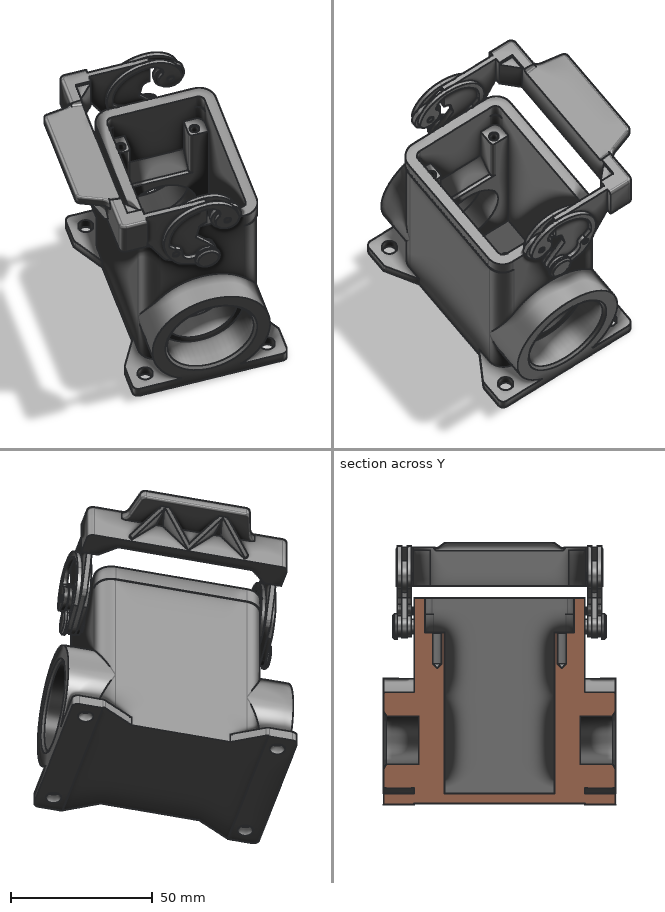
import cadquery as cq
import math

flange_length = 82.0
flange_width = 57.1
flange_thickness = 4.0
flange_corner_radius = 2.1
ear_flat_edge = 29.8
ear_taper_angle = 30
underside_relief = 0.4
mount_hole_radius = 2.73
mount_hole_x = 34.9
mount_hole_y = 22.55

body_length = 60.3
body_width = 43.5
body_corner_radius = 6.2
rim_width = 44.3
rim_bottom = 67.2
rim_top = 72.9
cavity_length = 52.5
cavity_width = 35.95
rim_cavity_corner_radius = 2.3
cavity_corner_radius = 3.0
wall_overlap = 0.9
floor_top = 4.0

post_top = 60.7
post_inner_x = 19.3
post_inner_y = 10.9
post_edge_radius = 1.3
screw_x = 22.0
screw_y = 13.6
screw_hole_radius = 1.5
screw_hole_depth = 11.1
screw_hole_chamfer = 0.3
wall_top = 39.7
wall_ledge_width = 1.5
wall_slope_rise = 5.45

entry_radius = body_width / 2
entry_height = 22.7
entry_bore_radius = 16.0
entry_bore_depth = 12.5
entry_through_radius = 13.5
entry_chamfer = 1.0

pivot_z = 62.8
pivot_pin_radius = 2.6
pivot_head_radius = 4.5
pivot_head_height = 1.5
pivot_head_chamfer = 0.7
cheek_outer_x = 36.1
arm_outer_x = 34.5
arm_inner_x = 32.5
cheek_inner_x = 31.05
arm_pivot_radius = 4.0
cheek_pivot_radius = 3.7
pivot_tangent_degrees = 245

hook_y = 7.6
hook_z = 80.4
hook_radius = 4.3
roller_radius = 5.5
cheek_arc_z = 75.4
cheek_top = 91.3
cheek_arc_radius = cheek_top - cheek_arc_z
cheek_band = 2.0

arm_back_y = 0.4
arm_notch_top = (arm_back_y, 79.85)
arm_notch_middle = (-1.7, 79.2)
arm_notch_bottom = (-2.7, 77.2)
arm_waist = (-3.6, 72.9)
arm_heel_upper = (-15.7, 65.8)
arm_heel_middle = (-15.1, 64.9)
arm_heel_lower = (-13.9, 64.05)

plate_heel_middle = (-14.0, 67.3)
plate_heel = (-10.1, 62.4)
plate_toe = (-3.7, 63.9)
plate_instep_start = (-5.7, 63.9)
plate_instep_middle = (-7.95, 64.9)
plate_inner_corner_z = 73.0
hook_throat_middle = (3.6, 87.6)
hook_throat_end = (5.0, 85.0)
hook_join_degrees = 130

rivet_y = -11.5
rivet_z = 68.3
rivet_boss_radius = 2.4
rivet_radius = 1.3
rivet_head_height = 0.4
rivet_dimple_depth = 0.3
rivet_dimple_rim = 0.05

bar_half_length = 36.4
bar_front_y = -32.1
bar_back_y = -27.7
bar_bottom = 77.1
bar_top = 90.85
bar_leg_end_y = -22.1
bar_leg_inner_x = 30.4
bar_corner_radius = 2.1
bar_edge_radius = 1.1
gusset_length = 5.9
gusset_drop = 1.2
tab_tip_y = -43.2
tab_tip_half = 19.6
tab_root_half = 22.7
tab_flare = 1.5
tab_flare_middle = (23.0, -32.8)
tab_flare_end = (22.0, -34.5)
tab_tip_radius = 1.85
tab_edge_radius = 0.8
tab_recess_half = 23.2
tab_recess_fillet = 1.4
tab_thickness = 3.7
tab_angle = math.radians(11.3)
overall_height = 92.4

rib_width = 1.4
rib_pitch = 10.5
rib_low_z = 78.4
rib_high_z = rib_low_z + rib_pitch
rib_depth = 9.7


def box(x_range, y_range, z_range):
    """Axis-aligned box between pairs of limits."""
    limits = (x_range, y_range, z_range)
    sizes = [high - low for low, high in limits]
    corner = tuple(low for low, high in limits)
    return cq.Workplane("XY", origin=corner).box(*sizes, centered=False)


def rounded_block(length, width, radius, bottom, top):
    """Upright block centred on Z with rounded vertical edges."""
    block = cq.Workplane("XY").workplane(offset=bottom).rect(length, width).extrude(top - bottom)
    return block.edges("|Z").fillet(radius)


def x_cylinder(radius, y, z, x_start, x_end):
    """Cylinder along X."""
    return cq.Workplane("YZ").workplane(offset=x_start).center(y, z).circle(radius).extrude(x_end - x_start)


def mirrored_x(shape):
    """The shape together with its mirror image across the YZ plane."""
    return shape.union(shape.mirror("YZ"))


def in_four_quadrants(shape):
    """The shape repeated symmetrically in all four quadrants."""
    half = mirrored_x(shape)
    return half.union(half.mirror("XZ"))


def polar(y, z, radius, degrees):
    """Point in the YZ plane at an angle measured from +Y towards +Z."""
    angle = math.radians(degrees)
    return (y + radius * math.cos(angle), z + radius * math.sin(angle))


def make_flange():
    half_length = flange_length / 2
    half_width = flange_width / 2
    taper_run = (half_width - body_width / 2) / math.tan(math.radians(ear_taper_angle))
    quadrant = (
        cq.Workplane("XY")
        .polyline([
            (0, 0),
            (half_length, 0),
            (half_length, half_width),
            (ear_flat_edge, half_width),
            (ear_flat_edge - taper_run, body_width / 2),
            (0, body_width / 2),
        ])
        .close()
        .extrude(flange_thickness)
    )
    quadrant = quadrant.edges("|Z and >X and >Y").fillet(flange_corner_radius)
    quadrant = quadrant.edges("|Z and >Y").edges("<X").fillet(flange_corner_radius)
    relief = box((0, body_length / 2), (0, half_width), (0, underside_relief))
    return in_four_quadrants(quadrant.cut(relief))


def mount_holes():
    hole = cq.Workplane("XY").center(mount_hole_x, mount_hole_y).circle(mount_hole_radius)
    return in_four_quadrants(hole.extrude(flange_thickness))


def make_housing():
    body = rounded_block(body_length, body_width, body_corner_radius, underside_relief, rim_bottom)
    rim = rounded_block(body_length, rim_width, body_corner_radius, rim_bottom, rim_top)
    entry = x_cylinder(entry_radius, 0, entry_height, -flange_length / 2, flange_length / 2)
    cavity = rounded_block(cavity_length, cavity_width, cavity_corner_radius, floor_top, rim_bottom)
    mouth = rounded_block(cavity_length, cavity_width, rim_cavity_corner_radius, rim_bottom, rim_top)
    return body.union(rim).union(entry).union(make_flange()).cut(cavity).cut(mouth)


def make_screw_post():
    """Post in the +X +Y corner of the cavity, with a drilled screw hole."""
    post = box(
        (post_inner_x, cavity_length / 2 + wall_overlap),
        (post_inner_y, cavity_width / 2 + wall_overlap),
        (floor_top, post_top),
    )
    post = post.edges("|Z and <X and <Y").fillet(post_edge_radius)
    mouth_radius = screw_hole_radius + screw_hole_chamfer
    hole = (
        cq.Workplane("XZ", origin=(screw_x, screw_y, post_top))
        .polyline([
            (0, 0),
            (mouth_radius, 0),
            (screw_hole_radius, -screw_hole_chamfer),
            (screw_hole_radius, -screw_hole_depth),
            (0, -screw_hole_depth - screw_hole_radius),
        ])
        .close()
        .revolve(360, (0, 0, 0), (0, 1, 0))
    )
    return post.cut(hole)


def make_end_wall():
    """Thick lower end wall with a ledge and a slope up to the thin wall."""
    slope_start = post_inner_x + wall_ledge_width
    return (
        cq.Workplane("XZ")
        .polyline([
            (post_inner_x, floor_top),
            (post_inner_x, wall_top),
            (slope_start, wall_top),
            (cavity_length / 2, wall_top + wall_slope_rise),
            (cavity_length / 2, floor_top),
        ])
        .close()
        .extrude(cavity_width / 2, both=True)
    )


def entry_bores():
    end = flange_length / 2
    through = x_cylinder(entry_through_radius, 0, entry_height, 0, end)
    bore = x_cylinder(entry_bore_radius, 0, entry_height, end - entry_bore_depth, end)
    mouth = (
        cq.Workplane("YZ", origin=(end, 0, entry_height))
        .circle(entry_bore_radius + entry_chamfer)
        .workplane(offset=-entry_chamfer)
        .circle(entry_bore_radius)
        .loft()
    )
    return mirrored_x(through.union(bore).union(mouth))


def make_arm():
    """Middle layer: the flat arm from the cross bar down to the pivot."""
    arm = (
        cq.Workplane("YZ")
        .workplane(offset=arm_inner_x)
        .moveTo(arm_back_y, bar_top)
        .lineTo(bar_back_y, bar_top)
        .lineTo(bar_back_y, bar_bottom)
        .lineTo(bar_leg_end_y, bar_bottom)
        .lineTo(*arm_heel_upper)
        .threePointArc(arm_heel_middle, arm_heel_lower)
        .lineTo(*polar(0, pivot_z, arm_pivot_radius, pivot_tangent_degrees))
        .lineTo(*polar(0, pivot_z, arm_pivot_radius, 45))
        .lineTo(*arm_waist)
        .lineTo(*arm_notch_bottom)
        .threePointArc(arm_notch_middle, arm_notch_top)
        .close()
        .extrude(arm_outer_x - arm_inner_x)
    )
    pivot_eye = x_cylinder(arm_pivot_radius, 0, pivot_z, arm_inner_x, arm_outer_x)
    roller = x_cylinder(roller_radius, hook_y, hook_z, arm_inner_x, arm_outer_x)
    return arm.union(pivot_eye).union(roller)


def make_hooked_plate(x_start, x_end):
    """Sickle-shaped plate that carries the roller in its hook."""
    inner_radius = cheek_arc_radius - cheek_band
    rise = cheek_top - hook_radius
    back_z = (rise ** 2 - hook_z ** 2 - hook_y ** 2) / (2 * (rise - hook_z))
    back_radius = cheek_top - back_z
    tangent_degrees = math.degrees(math.atan2(hook_z - back_z, hook_y))
    plate = (
        cq.Workplane("YZ")
        .workplane(offset=x_start)
        .moveTo(*polar(0, back_z, back_radius, tangent_degrees))
        .threePointArc(polar(0, back_z, back_radius, 50), (0, cheek_top))
        .threePointArc(polar(0, cheek_arc_z, cheek_arc_radius, 135), (-cheek_arc_radius, cheek_arc_z))
        .threePointArc(plate_heel_middle, plate_heel)
        .lineTo(*polar(0, pivot_z, cheek_pivot_radius, pivot_tangent_degrees))
        .lineTo(0, pivot_z)
        .lineTo(*plate_toe)
        .lineTo(*plate_instep_start)
        .threePointArc(plate_instep_middle, polar(rivet_y, rivet_z, rivet_boss_radius, 0))
        .threePointArc(
            polar(rivet_y, rivet_z, rivet_boss_radius, 45),
            polar(rivet_y, rivet_z, rivet_boss_radius, 90),
        )
        .lineTo(-inner_radius, plate_inner_corner_z)
        .lineTo(-inner_radius, cheek_arc_z)
        .threePointArc(polar(0, cheek_arc_z, inner_radius, 135), (0, cheek_arc_z + inner_radius))
        .threePointArc(hook_throat_middle, hook_throat_end)
        .lineTo(*polar(hook_y, hook_z, hook_radius, hook_join_degrees))
        .lineTo(hook_y, hook_z)
        .close()
        .extrude(x_end - x_start)
    )
    hook = x_cylinder(hook_radius, hook_y, hook_z, x_start, x_end)
    pivot_eye = x_cylinder(cheek_pivot_radius, 0, pivot_z, x_start, x_end)
    return plate.union(hook).union(pivot_eye)


def make_cheek():
    cheek = make_arm()
    cheek = cheek.union(make_hooked_plate(arm_outer_x, cheek_outer_x))
    cheek = cheek.union(make_hooked_plate(cheek_inner_x, arm_inner_x))

    head_end = cheek_outer_x + pivot_head_height
    head = x_cylinder(pivot_head_radius, 0, pivot_z, cheek_outer_x, head_end)
    head = head.faces(">X").edges().chamfer(pivot_head_chamfer)
    pin = x_cylinder(pivot_pin_radius, 0, pivot_z, body_length / 2 - wall_overlap, cheek_outer_x)
    cheek = cheek.union(head).union(pin)

    for y, z in ((hook_y, hook_z), (rivet_y, rivet_z)):
        rivet_head = x_cylinder(rivet_radius, y, z, cheek_inner_x - rivet_head_height, cheek_inner_x)
        dimple = x_cylinder(rivet_radius, y, z, cheek_outer_x - rivet_dimple_depth, cheek_outer_x)
        dimple = dimple.faces("<X").edges().chamfer(rivet_dimple_depth - rivet_dimple_rim)
        cheek = cheek.union(rivet_head).cut(dimple)
    return cheek


def tab_top_at(y):
    """Height of the sloping tab top; its highest point lies on the rounded tip edge."""
    rounding_loss = tab_edge_radius * (math.tan(tab_angle) + 1 / math.cos(tab_angle) - 1)
    return overall_height + rounding_loss - (y - tab_tip_y) * math.tan(tab_angle)


def make_tab_plan():
    """Upright prism with the outline of the thumb tab, flared into the bar."""
    half = (
        cq.Workplane("XY")
        .workplane(offset=bar_bottom)
        .moveTo(0, bar_back_y)
        .lineTo(tab_root_half, bar_back_y)
        .lineTo(tab_root_half + tab_flare, bar_front_y)
        .threePointArc(tab_flare_middle, tab_flare_end)
        .lineTo(tab_tip_half, tab_tip_y)
        .lineTo(0, tab_tip_y)
        .close()
        .extrude(overall_height + tab_edge_radius - bar_bottom)
    )
    tip_corner = cq.selectors.NearestToPointSelector((tab_tip_half, tab_tip_y, bar_top))
    return mirrored_x(half.edges("|Z").edges(tip_corner).fillet(tab_tip_radius))


def make_tab():
    vertical_thickness = tab_thickness / math.cos(tab_angle)
    slab = (
        cq.Workplane("YZ")
        .polyline([
            (bar_back_y, tab_top_at(bar_back_y)),
            (tab_tip_y, tab_top_at(tab_tip_y)),
            (tab_tip_y, tab_top_at(tab_tip_y) - vertical_thickness),
            (bar_back_y, tab_top_at(bar_back_y) - vertical_thickness),
        ])
        .close()
        .extrude(bar_half_length, both=True)
    )
    tab = make_tab_plan().intersect(slab)
    return tab.edges("(not |Z) and (not >Y)").fillet(tab_edge_radius)


def make_rib():
    """Zigzag rib on the bar front, cut back by a slope from the tab tip."""
    corner_offset = rib_width / 2 * math.sqrt(2)
    end_offset = corner_offset / 2
    end_x = 2 * rib_pitch
    bends = [(-rib_pitch, rib_high_z), (0, rib_low_z), (rib_pitch, rib_high_z)]
    upper = [(x, z + corner_offset) for x, z in bends]
    lower = [(x, z - corner_offset) for x, z in reversed(bends)]
    right_end = [(end_x + end_offset, rib_low_z + end_offset), (end_x - end_offset, rib_low_z - end_offset)]
    left_end = [(-x, z) for x, z in reversed(right_end)]
    zigzag = (
        cq.Workplane("XZ", origin=(0, bar_front_y, 0))
        .polyline(upper + right_end + lower + left_end)
        .close()
        .extrude(rib_depth)
    )
    wedge = (
        cq.Workplane("YZ")
        .polyline([
            (bar_front_y, rib_low_z - corner_offset),
            (bar_front_y, rib_high_z + corner_offset),
            (bar_front_y - rib_depth, rib_high_z + corner_offset),
        ])
        .close()
        .extrude(bar_half_length, both=True)
    )
    return zigzag.intersect(wedge)


def make_bar():
    bar = box((-bar_half_length, bar_half_length), (bar_front_y, bar_leg_end_y), (bar_bottom, bar_top))
    bar = bar.edges("|Z and <Y").fillet(bar_corner_radius)
    bar = bar.faces(">Z").edges("not >Y").fillet(bar_edge_radius)
    gap = box((-bar_leg_inner_x, bar_leg_inner_x), (bar_back_y, bar_leg_end_y), (bar_bottom, bar_top))
    bar = bar.cut(gap)
    gusset = (
        cq.Workplane("XY")
        .workplane(offset=bar_bottom)
        .polyline([
            (bar_leg_inner_x, bar_leg_end_y),
            (bar_leg_inner_x, bar_back_y),
            (bar_leg_inner_x - gusset_length, bar_back_y),
        ])
        .close()
        .extrude(bar_top - gusset_drop - bar_bottom)
    )
    bar = bar.union(mirrored_x(gusset))
    above_tab = (
        cq.Workplane("YZ")
        .polyline([
            (bar_back_y, tab_top_at(bar_back_y)),
            (bar_front_y, tab_top_at(bar_front_y)),
            (bar_front_y, overall_height),
            (bar_back_y, overall_height),
        ])
        .close()
        .extrude(tab_recess_half, both=True)
    )
    recess_floor = above_tab.faces("<Z")
    above_tab = recess_floor.edges("<X or >X").fillet(tab_recess_fillet)
    return bar.cut(above_tab).union(make_tab()).union(make_rib())


housing = make_housing()
housing = housing.union(in_four_quadrants(make_screw_post()))
housing = housing.union(mirrored_x(make_end_wall()))
housing = housing.cut(entry_bores()).cut(mount_holes())

lever = make_bar().union(mirrored_x(make_cheek()))
result = housing.union(lever)